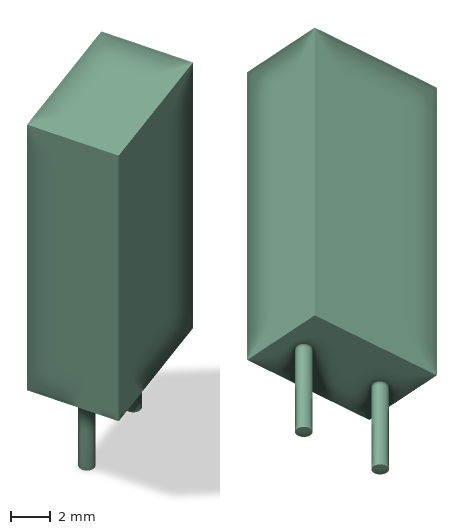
import cadquery as cq

body_width = 5.22
body_depth = 8.15
total_height = 22.8

pin_diameter = 0.9
pin_length = 5.1
pin_spacing = 5.08
pin_count = 2

body_height = total_height - pin_length


def make_body():
    """Rectangular block standing on the plane Z = 0."""
    return cq.Workplane("XY").box(body_width, body_depth, body_height, centered=(True, True, False))


def make_pin(y):
    """Round pin hanging from the underside of the body."""
    return cq.Workplane("XY").center(0, y).circle(pin_diameter / 2).extrude(-pin_length)


body = make_body()

first_pin_y = -pin_spacing * (pin_count - 1) / 2
pins = []
for index in range(pin_count):
    pins.append(make_pin(first_pin_y + index * pin_spacing))

result = cq.Compound.makeCompound([body.val(), *[pin.val() for pin in pins]])